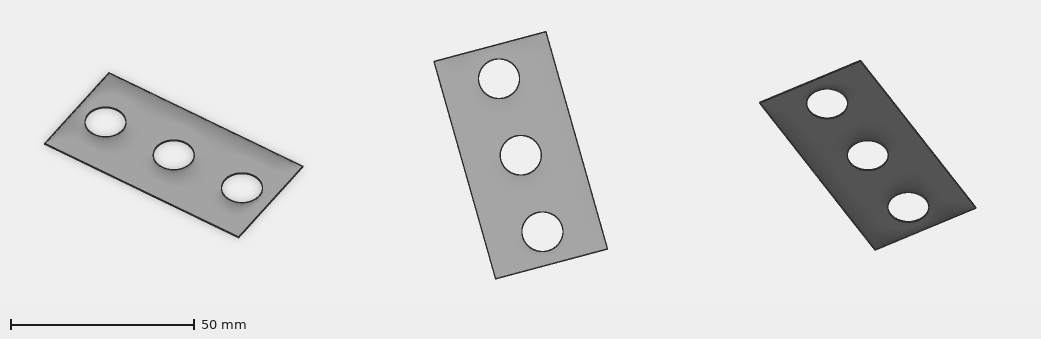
import cadquery as cq

plate_length = 63.5
plate_width = 31.75
plate_thickness = 0.381

hole_diameter = 11.176
hole_pitch = 22.352
hole_count = 3


def make_plate():
    """Rectangular sheet centred on the origin."""
    return cq.Workplane("XY").box(plate_length, plate_width, plate_thickness)


def cut_hole_row(plate):
    """Drill the evenly spaced holes through the sheet, centred along X."""
    return (
        plate.faces(">Z")
        .workplane()
        .rarray(hole_pitch, hole_pitch, hole_count, 1)
        .hole(hole_diameter)
    )


result = cut_hole_row(make_plate())